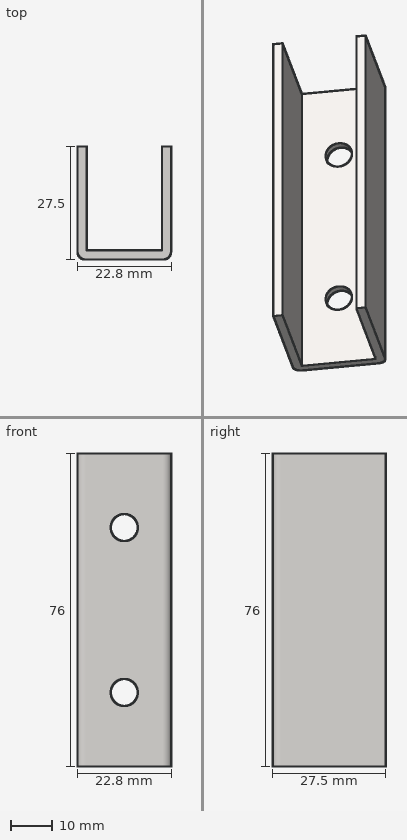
import cadquery as cq

width = 22.8
depth = 27.5
height = 76.0

wall = 2.3
outer_bend_radius = 2.0

hole_diameter = 6.5
hole_spacing = 40.0


def channel():
    """U channel standing along Z: web on the -Y side, open towards +Y."""
    body = cq.Workplane("XY").box(width, depth, height)
    body = body.faces("<Y").edges("|Z").fillet(outer_bend_radius)
    cavity = (
        cq.Workplane("XY")
        .box(width - 2 * wall, depth, height)
        .translate((0, wall, 0))
    )
    return body.cut(cavity)


def web_holes():
    """Cylinders along Y that pierce only the web."""
    web_outer_y = -depth / 2
    return (
        cq.Workplane("XZ", origin=(0, web_outer_y, 0))
        .pushPoints([(0, -hole_spacing / 2), (0, hole_spacing / 2)])
        .circle(hole_diameter / 2)
        .extrude(-wall)
    )


result = channel().cut(web_holes())